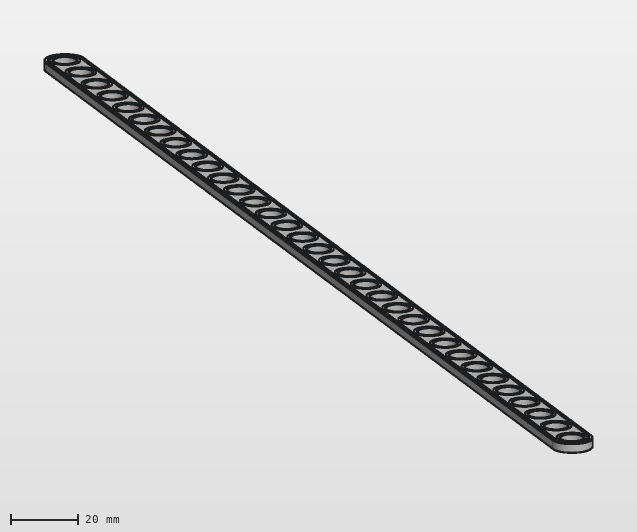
import cadquery as cq

pitch = 12.5
hole_count = 33
thickness = 3.12
hole_diameter = 7.0
boss_diameter = 9.2
rail_width = 1.1
recess_depth = 0.2
chamfer_size = 0.3

width = pitch
length = hole_count * pitch
recess_floor = thickness - recess_depth


def bar_blank():
    """Flat bar with semicircular ends, standing on Z = 0, its outer edges chamfered top and bottom."""
    bar = cq.Workplane("XY").slot2D(length, width).extrude(thickness)
    return bar.faces("<Z or >Z").edges().chamfer(chamfer_size)


def hole_positions(height):
    """Workplane at the given height with a point at every hole along the bar."""
    return cq.Workplane("XY", origin=(0, 0, height)).rarray(pitch, pitch, hole_count, 1)


def top_recess():
    """Shallow recess in the top face, inside the edge rail and around the round boss of each hole."""
    inside_rail = (
        cq.Workplane("XY", origin=(0, 0, recess_floor))
        .slot2D(length - 2 * rail_width, width - 2 * rail_width)
        .extrude(recess_depth)
    )
    bosses = hole_positions(recess_floor).circle(boss_diameter / 2).extrude(recess_depth)
    return inside_rail.cut(bosses)


def chamfered_holes():
    """Cutter for the through holes, flared at both faces by the edge chamfer."""
    hole_radius = hole_diameter / 2
    mouth_radius = hole_radius + chamfer_size
    half_section = [
        (0, 0),
        (mouth_radius, 0),
        (hole_radius, chamfer_size),
        (hole_radius, thickness - chamfer_size),
        (mouth_radius, thickness),
        (0, thickness),
    ]
    cutter = cq.Workplane("XZ").polyline(half_section).close().revolve(360, (0, 0), (0, 1)).val()
    return hole_positions(0).eachpoint(lambda location: cutter.moved(location))


result = bar_blank().cut(top_recess()).cut(chamfered_holes())